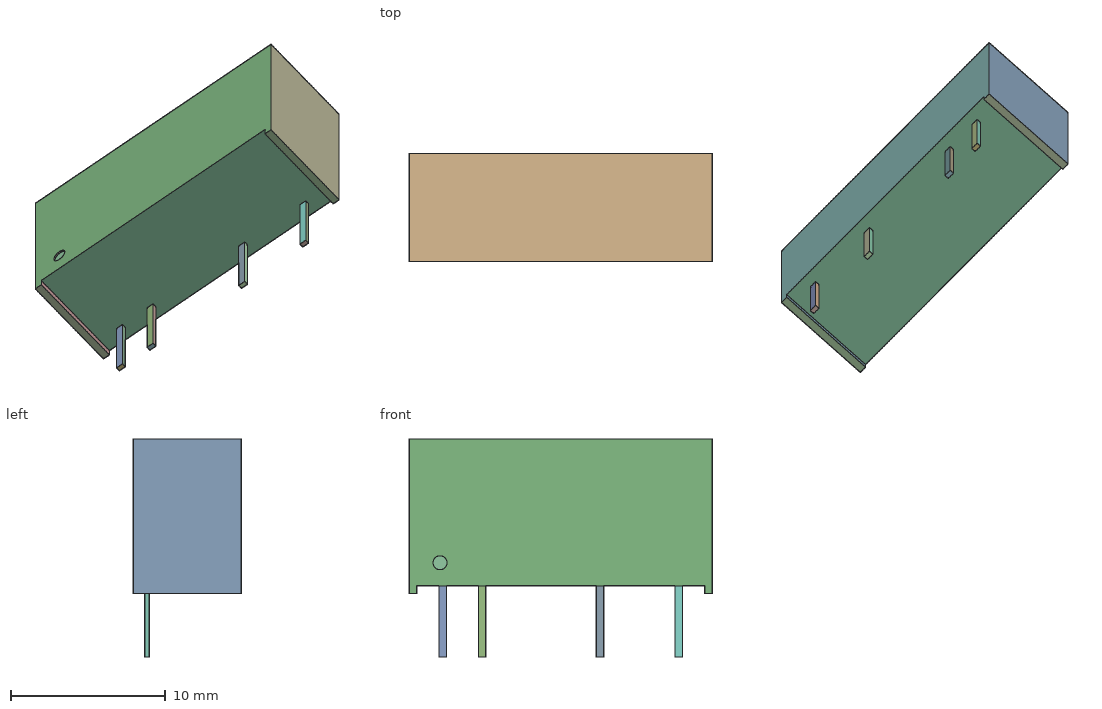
import cadquery as cq

body_length = 19.6
body_width = 7.0
body_height = 10.0

foot_length = 0.5
foot_height = 0.5

pin_pitch = 2.54
pin_grid_steps = (-3, -2, 1, 3)
pin_width = 0.5
pin_thickness = 0.3
pin_reach = 4.1
pin_rear_inset = 0.9

mark_diameter = 0.9
mark_depth = 0.1
mark_inset = 2.0

front_y = -body_width / 2
pin_y = body_width / 2 - pin_rear_inset


def make_body():
    """Block with its underside relieved between the two feet."""
    block = cq.Workplane("XY").box(body_length, body_width, body_height, centered=(True, True, False))
    relief = cq.Workplane("XY").box(
        body_length - 2 * foot_length, body_width, foot_height, centered=(True, True, False)
    )
    return block.cut(relief)


def make_pin(x):
    """Flat pin from the relieved underside down to its tip."""
    pin_length = pin_reach + foot_height
    return (
        cq.Workplane("XY")
        .box(pin_width, pin_thickness, pin_length, centered=(True, True, False))
        .translate((x, pin_y, -pin_reach))
    )


def make_mark():
    """Shallow disc to be removed from the front face."""
    mark_x = -body_length / 2 + mark_inset
    return (
        cq.Workplane("XZ", origin=(mark_x, front_y, mark_inset))
        .circle(mark_diameter / 2)
        .extrude(-mark_depth)
    )


result = make_body().cut(make_mark())
for step in pin_grid_steps:
    result = result.union(make_pin(step * pin_pitch))